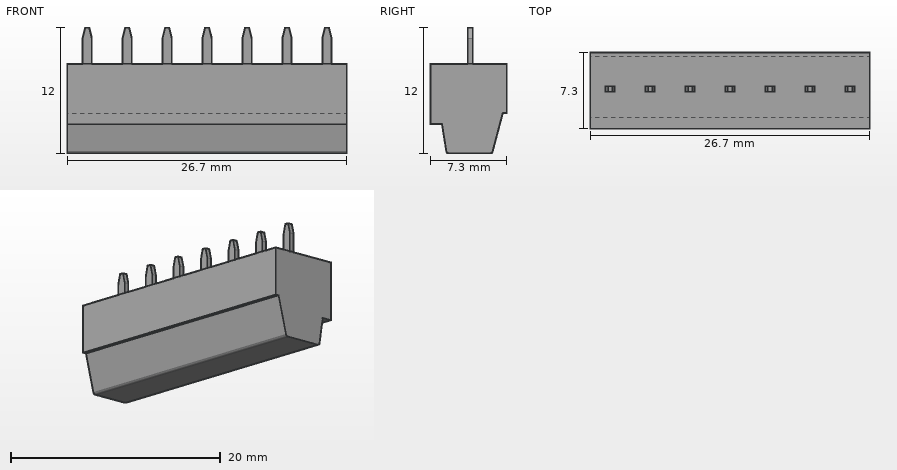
import cadquery as cq

pin_count = 7
pin_pitch = 3.81
pin_width = 0.9
pin_thickness = 0.5
pin_tip_width = 0.4
pin_taper_height = 1.0
pin_to_back = 3.5

body_length = pin_count * pin_pitch
body_depth = 7.3
body_height = 8.55
total_height = 12.0

back_step_height = 3.85
back_step_depth = 0.38
back_foot_inset = 1.4
front_step_height = 2.8
front_step_depth = 1.1
front_foot_inset = 1.55
foot_edge_radius = 0.25

back_y = pin_to_back
front_y = back_y - body_depth


def make_body():
    """Constant YZ section along X: a block that steps in to a tapered foot."""
    section = [
        (front_y, body_height),
        (front_y, front_step_height),
        (front_y + front_step_depth, front_step_height),
        (front_y + front_foot_inset, 0),
        (back_y - back_foot_inset, 0),
        (back_y - back_step_depth, back_step_height),
        (back_y, back_step_height),
        (back_y, body_height),
    ]
    block = cq.Workplane("YZ").polyline(section).close().extrude(body_length / 2, both=True)
    return block.faces("<Z").edges("|X").fillet(foot_edge_radius)


def make_pin(center_x):
    """Flat pin standing on the body, narrowing in X to a blunt tip."""
    half_width = pin_width / 2
    half_tip = pin_tip_width / 2
    taper_start = total_height - pin_taper_height
    outline = [
        (center_x - half_width, body_height),
        (center_x + half_width, body_height),
        (center_x + half_width, taper_start),
        (center_x + half_tip, total_height),
        (center_x - half_tip, total_height),
        (center_x - half_width, taper_start),
    ]
    return cq.Workplane("XZ").polyline(outline).close().extrude(pin_thickness / 2, both=True)


result = make_body()
for index in range(pin_count):
    pin_x = (index - (pin_count - 1) / 2) * pin_pitch
    result = result.union(make_pin(pin_x))